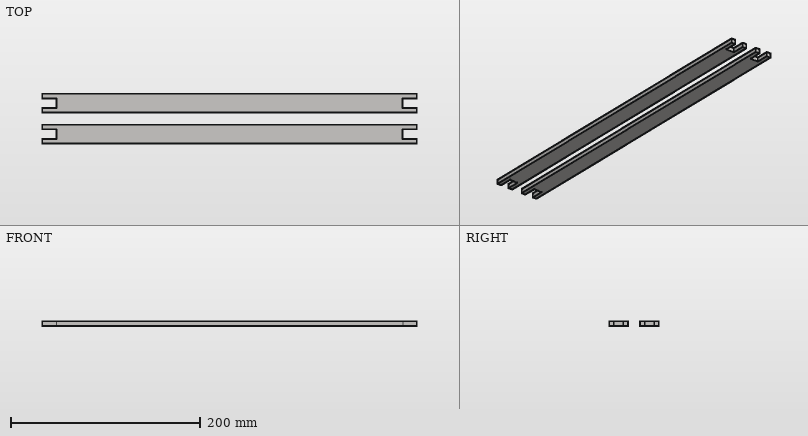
import cadquery as cq

bar_length = 396.0
overall_width = 52.5
bar_gap = 12.5
thickness = 5.0
slot_depth = 15.0
slot_width = 10.0

bar_width = (overall_width - bar_gap) / 2
bar_offset = (bar_width + bar_gap) / 2


def make_bar(center_y):
    """Flat bar along X with an open slot centred in each end."""
    bar = cq.Workplane("XY").box(bar_length, bar_width, thickness)
    slot_offset = (bar_length - slot_depth) / 2
    slots = (
        cq.Workplane("XY")
        .pushPoints([(-slot_offset, 0), (slot_offset, 0)])
        .box(slot_depth, slot_width, thickness)
    )
    return bar.cut(slots).translate((0, center_y, 0))


bars = [make_bar(side * bar_offset) for side in (-1, 1)]

result = cq.Compound.makeCompound([bar.solids().val() for bar in bars])